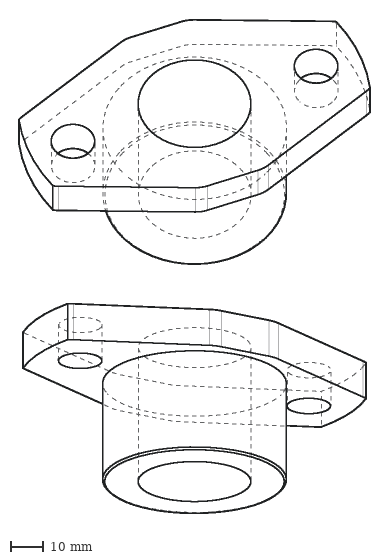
import cadquery as cq

flange_length = 109.6
flange_width = 64.0
flange_thickness = 12.0
side_corner_y = 10.4
blank_half_length = 57.5
blank_end_half_width = 12.5
corner_radius = 10.0

total_height = 44.5
spigot_diameter = 57.0
spigot_chamfer = 0.7
bore_diameter = 35.0

bolt_hole_diameter = 13.5
bolt_hole_offset = 40.5


def make_flange():
    """Tapered plate with rounded corners, its ends trimmed to one common circle."""
    half_width = flange_width / 2
    upper_half = [
        (half_width, side_corner_y),
        (blank_end_half_width, blank_half_length),
        (-blank_end_half_width, blank_half_length),
        (-half_width, side_corner_y),
    ]
    lower_half = [(-x, -y) for x, y in upper_half]
    base = cq.Workplane("XY").workplane(offset=total_height - flange_thickness)
    blank = base.polyline(upper_half + lower_half).close().extrude(flange_thickness)
    blank = blank.edges("|Z").fillet(corner_radius)
    end_circle = base.circle(flange_length / 2).extrude(flange_thickness)
    return blank.intersect(end_circle)


def make_spigot():
    """Round spigot with a chamfered lower rim, reaching up to the flange top."""
    spigot = cq.Workplane("XY").circle(spigot_diameter / 2).extrude(total_height)
    return spigot.faces("<Z").edges().chamfer(spigot_chamfer)


def make_holes():
    """Central bore and the two bolt holes, all passing right through."""
    bore = cq.Workplane("XY").circle(bore_diameter / 2).extrude(total_height)
    bolt_holes = (
        cq.Workplane("XY")
        .pushPoints([(0, -bolt_hole_offset), (0, bolt_hole_offset)])
        .circle(bolt_hole_diameter / 2)
        .extrude(total_height)
    )
    return bore.union(bolt_holes)


result = make_flange().union(make_spigot()).cut(make_holes())